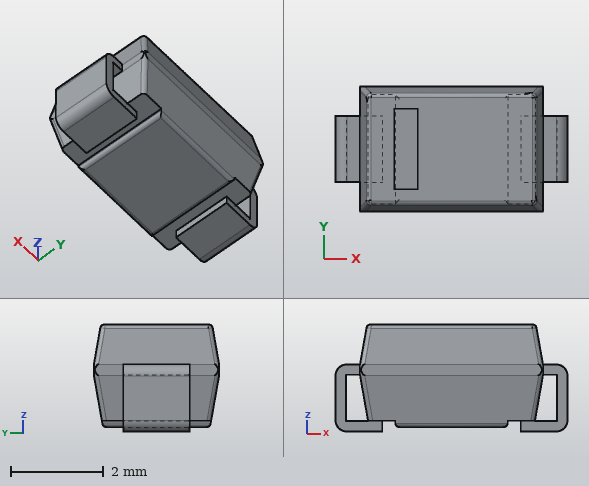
import cadquery as cq
import math

length = 5.0
height = 2.31

body_length = 3.94
body_width = 2.7
draft_angle = 10.0
band_bottom = 1.21
band_top = 1.45
edge_radius = 0.1

pad_length = 2.43
pad_bottom = 0.095

lead_width = 1.43
lead_thickness = 0.23
bend_radius = 0.25
foot_length = 1.015
lead_embed = 0.25

mark_length = 0.5
mark_width = 1.73
mark_left = -1.23
mark_depth = 0.005

band_middle = (band_bottom + band_top) / 2
draft_slope = math.tan(math.radians(draft_angle))


def drafted_half(band_edge, end):
    """Rounded drafted block from the middle of the band to height end."""
    spread = 2 * abs(band_edge - band_middle) * draft_slope
    inset = 2 * abs(end - band_edge) * draft_slope
    half = (
        cq.Workplane("XY", origin=(0, 0, band_middle))
        .rect(body_length + spread, body_width + spread)
        .workplane(offset=end - band_middle)
        .rect(body_length - inset, body_width - inset)
        .loft(ruled=True)
    )
    return half.edges("not #Z").fillet(edge_radius)


def make_body():
    upper = drafted_half(band_top, height).faces(">Z").edges().fillet(edge_radius)

    lower = drafted_half(band_bottom, pad_bottom)
    step_length = (length - pad_length) / 2
    for side in (-1, 1):
        step = cq.Workplane("XY").box(
            step_length, body_width, lead_thickness, centered=(True, True, False)
        )
        lower = lower.cut(step.translate((side * (pad_length + step_length) / 2, 0, 0)))
    lower = lower.faces("<Z").edges().fillet(edge_radius)

    block = cq.Workplane("XY").box(body_length, body_width, height, centered=(True, True, False))
    return upper.union(lower).intersect(block)


def make_left_lead():
    outer_x = -length / 2
    inner_x = outer_x + lead_thickness
    foot_end = outer_x + foot_length
    buried_end = -body_length / 2 + lead_embed
    shelf = band_top - lead_thickness
    bend_x = outer_x + bend_radius
    upper_bend_z = band_top - bend_radius
    diagonal = bend_radius * math.sqrt(0.5)
    return (
        cq.Workplane("XZ")
        .moveTo(foot_end, 0)
        .lineTo(bend_x, 0)
        .threePointArc((bend_x - diagonal, bend_radius - diagonal), (outer_x, bend_radius))
        .lineTo(outer_x, upper_bend_z)
        .threePointArc((bend_x - diagonal, upper_bend_z + diagonal), (bend_x, band_top))
        .lineTo(buried_end, band_top)
        .lineTo(buried_end, shelf)
        .lineTo(inner_x, shelf)
        .lineTo(inner_x, lead_thickness)
        .lineTo(foot_end, lead_thickness)
        .close()
        .extrude(lead_width / 2, both=True)
    )


def make_mark():
    mark = cq.Workplane("XY").box(mark_length, mark_width, mark_depth, centered=(False, True, False))
    return mark.translate((mark_left, 0, height - mark_depth))


left_lead = make_left_lead()
right_lead = left_lead.mirror("YZ")
result = make_body().cut(make_mark()).union(left_lead).union(right_lead)